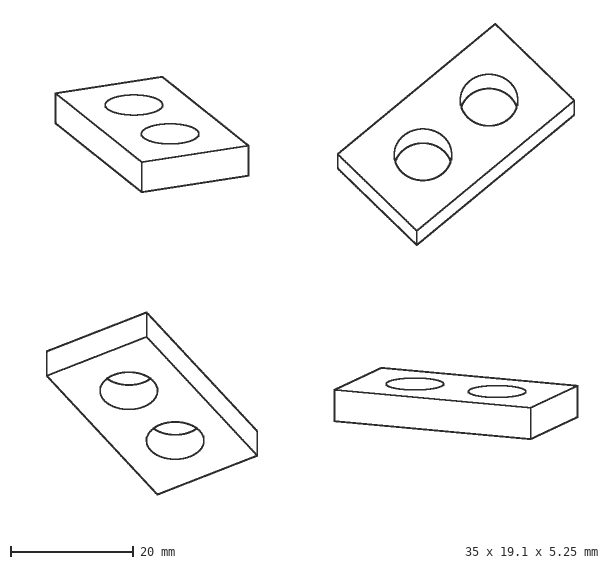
import cadquery as cq

length = 35.05
width = 19.05
thickness = 5.25

hole_diameter = 9.4
hole_spacing = 14.7

plate = cq.Workplane("XY").box(length, width, thickness)

hole_centers = [(-hole_spacing / 2, 0), (hole_spacing / 2, 0)]
result = plate.faces(">Z").workplane().pushPoints(hole_centers).hole(hole_diameter)